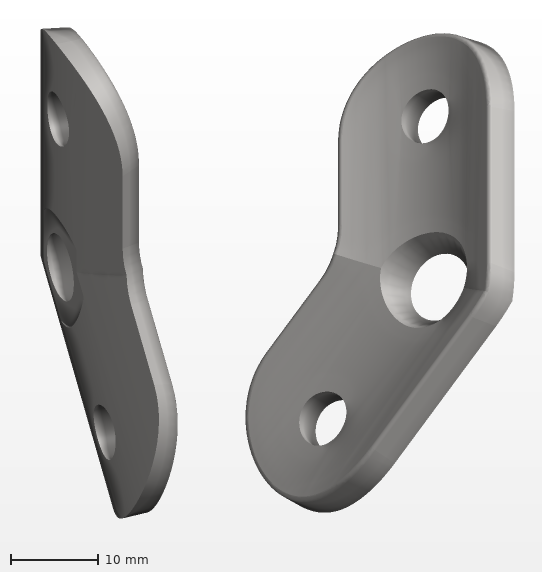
import cadquery as cq
import math


OUTER_RADIUS = 24.05
THICKNESS = 3.4
INNER_RADIUS = OUTER_RADIUS - THICKNESS
HALF_ANGLE = math.radians(30)

LEAF_LENGTH = 30.05
TIP_LENGTH = 11.75
TIP_START = LEAF_LENGTH - TIP_LENGTH
TIP_CURVE_STEPS = 20
LEAF_TURN = 135
MITRE_SLOPE = 90 - LEAF_TURN / 2
ELBOW_RADIUS = 10.0
RIM_RADIUS = 0.5

LEAF_HOLE_DIAMETER = 6.5
LEAF_HOLE_DISTANCE = 20.0
HUB_HOLE_DIAMETER = 8.0
COUNTERSINK_HALF_ANGLE = math.radians(30)
SPOTFACE_DIAMETER = 13.95
SPOTFACE_DEPTH = 0.5

CLEARANCE = 1.1
REACH = 54.95


def about_y(body, degrees):
    return body.rotate((0, 0, 0), (0, 1, 0), degrees)


def to_lower_leaf(body):
    return about_y(body, LEAF_TURN)


def half_space(side):
    """The space above (side = 1) or below (side = -1) the mitre plane."""
    block = cq.Workplane("XY", origin=(0, 0, side * REACH / 2)).box(2 * REACH, 2 * REACH, REACH)
    return about_y(block, -MITRE_SLOPE)


def mitred(body):
    """Join an upper-leaf body to its copy along the lower leaf at the mitre plane."""
    return body.intersect(half_space(1)).union(to_lower_leaf(body).intersect(half_space(-1)))


def wall_outline(axis_distance):
    """Outline of the leaf walls on the plane at this distance from the trough axis.

    Each point moves straight away from the axis as the distance grows, so the lofted
    walls stand square to the curved faces.  The tip is half an ellipse on the unrolled strap.
    """
    half_width = axis_distance * math.tan(HALF_ANGLE)

    def tip_point(quarter_turns):
        angle = quarter_turns * math.pi / 2
        around = HALF_ANGLE * math.cos(angle)
        return axis_distance * math.tan(around), TIP_START + TIP_LENGTH * math.sin(angle)

    return (
        cq.Workplane("XZ", origin=(0, OUTER_RADIUS - axis_distance, 0))
        .moveTo(0, LEAF_LENGTH)
        .parametricCurve(tip_point, N=TIP_CURVE_STEPS, start=1, stop=2, makeWire=False)
        .lineTo(-half_width, -LEAF_LENGTH)
        .lineTo(half_width, -LEAF_LENGTH)
        .lineTo(half_width, TIP_START)
        .parametricCurve(tip_point, N=TIP_CURVE_STEPS, start=0, stop=1, makeWire=False)
        .wire()
        .val()
    )


def leaf_walls():
    """Solid bounded by the side walls of the upper leaf, running on past the hub."""
    inner_outline = wall_outline(INNER_RADIUS * math.cos(HALF_ANGLE) - CLEARANCE)
    outer_outline = wall_outline(OUTER_RADIUS + CLEARANCE)
    return cq.Workplane(cq.Solid.makeLoft([inner_outline, outer_outline], True))


def leaf_tube():
    """Long tube whose wall carries the curved faces of the upper leaf."""
    return (
        cq.Workplane("XY", origin=(0, OUTER_RADIUS, -REACH))
        .circle(OUTER_RADIUS)
        .circle(INNER_RADIUS)
        .extrude(2 * REACH)
    )


def strap_walls():
    """Walls of both leaves, rounded where they meet at the elbow."""
    walls = mitred(leaf_walls())
    half_width = OUTER_RADIUS * math.sin(HALF_ANGLE)
    edge_y = OUTER_RADIUS * (1 - math.cos(HALF_ANGLE))
    for x in (-half_width, half_width):
        corner = (x, edge_y, x * math.tan(math.radians(MITRE_SLOPE)))
        walls = walls.edges(cq.selectors.NearestToPointSelector(corner)).fillet(ELBOW_RADIUS)
    return walls


def round_rim(leaf, leaf_turn):
    """Round the rim of the hollow face of one leaf, leaving its mitre edge sharp."""
    above_crown = THICKNESS + CLEARANCE
    mid_leaf = cq.Vertex.makeVertex(0, above_crown, LEAF_LENGTH / 2)
    face_point = about_y(mid_leaf, leaf_turn).toTuple()
    hollow_face = leaf.faces(cq.selectors.NearestToPointSelector(face_point))
    mitre_edge = hollow_face.edges(cq.selectors.NearestToPointSelector((0, above_crown, 0))).val()
    rim = [edge for edge in hollow_face.edges().vals() if not edge.isSame(mitre_edge)]
    return leaf.newObject(rim).fillet(RIM_RADIUS)


def y_rod(diameter, start_y, end_y, z=0.0):
    """Cylinder along Y on the centre plane of the upper leaf."""
    start = cq.Workplane("XZ", origin=(0, start_y, z))
    return start.circle(diameter / 2).extrude(start_y - end_y)


def countersink():
    """Cone through the hub, hub-hole size at the spotface and widening to the hollow side."""
    depth = THICKNESS + CLEARANCE
    small_radius = HUB_HOLE_DIAMETER / 2
    large_radius = small_radius + depth * math.tan(COUNTERSINK_HALF_ANGLE)
    start = cq.Vector(0, SPOTFACE_DEPTH, 0)
    return cq.Workplane(cq.Solid.makeCone(small_radius, large_radius, depth, start, cq.Vector(0, 1, 0)))


strap = strap_walls().intersect(mitred(leaf_tube()))
upper_leaf = round_rim(strap.intersect(half_space(1)), 0)
lower_leaf = round_rim(strap.intersect(half_space(-1)), LEAF_TURN)

leaf_hole = y_rod(LEAF_HOLE_DIAMETER, -CLEARANCE, 2 * THICKNESS, LEAF_HOLE_DISTANCE)
result = (
    upper_leaf.union(lower_leaf)
    .cut(leaf_hole)
    .cut(to_lower_leaf(leaf_hole))
    .cut(y_rod(SPOTFACE_DIAMETER, -CLEARANCE, SPOTFACE_DEPTH))
    .cut(countersink())
)